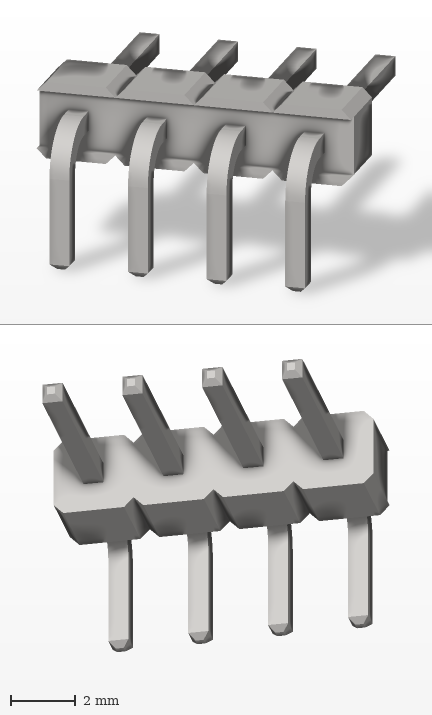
import cadquery as cq
import math

position_count = 4
pitch = 2.54

block_height = 2.5
block_depth = 2.3
corner_chamfer = 0.3
front_recess_depth = 0.3

pin_width = 0.64
rear_length = 6.0
overall_depth = 10.13
overall_height = 5.51
bend_outer_radius = 1.58
tip_chamfer = 0.19

block_top = block_height / 2
rear_tip_y = block_depth + rear_length
bend_front_y = rear_tip_y - overall_depth
lower_tip_z = block_top - overall_height
pin_top = pin_width / 2
bend_inner_radius = bend_outer_radius - pin_width
bend_center_y = bend_front_y + bend_outer_radius
bend_center_z = pin_top - bend_outer_radius


def make_block(x):
    """Eight-sided block with a full-width recess between its front lips and a square pin hole."""
    body = (
        cq.Workplane("XY")
        .box(pitch, block_depth, block_height, centered=(True, False, True))
        .edges("|Y")
        .chamfer(corner_chamfer)
    )
    recess_height = block_height - 2 * corner_chamfer
    recess = cq.Workplane("XY").box(
        pitch, front_recess_depth, recess_height, centered=(True, False, True)
    )
    pin_hole = cq.Workplane("XY").box(
        pin_width, block_depth, pin_width, centered=(True, False, True)
    )
    return body.cut(recess).cut(pin_hole).translate((x, 0, 0)).solids()


def make_pin(x):
    """Square pin that leaves the front of the block and bends down, tapered at both tips."""
    diagonal = math.sqrt(0.5)
    outer_mid_y = bend_center_y - bend_outer_radius * diagonal
    outer_mid_z = bend_center_z + bend_outer_radius * diagonal
    inner_mid_y = bend_center_y - bend_inner_radius * diagonal
    inner_mid_z = bend_center_z + bend_inner_radius * diagonal
    leg_back_y = bend_front_y + pin_width

    side_outline = (
        cq.Workplane("YZ")
        .moveTo(rear_tip_y, pin_top)
        .lineTo(bend_center_y, pin_top)
        .threePointArc((outer_mid_y, outer_mid_z), (bend_front_y, bend_center_z))
        .lineTo(bend_front_y, lower_tip_z)
        .lineTo(leg_back_y, lower_tip_z)
        .lineTo(leg_back_y, bend_center_z)
        .threePointArc((inner_mid_y, inner_mid_z), (bend_center_y, -pin_top))
        .lineTo(rear_tip_y, -pin_top)
        .close()
    )
    pin = side_outline.extrude(pin_width / 2, both=True)
    pin = pin.faces(">Y").chamfer(tip_chamfer)
    pin = pin.faces("<Z").chamfer(tip_chamfer)
    return pin.translate((x, 0, 0)).solids()


first_x = -pitch * (position_count - 1) / 2
positions = [first_x + i * pitch for i in range(position_count)]

blocks = [make_block(x) for x in positions]
pins = [make_pin(x) for x in positions]

result = cq.Compound.makeCompound([body.val() for body in blocks + pins])